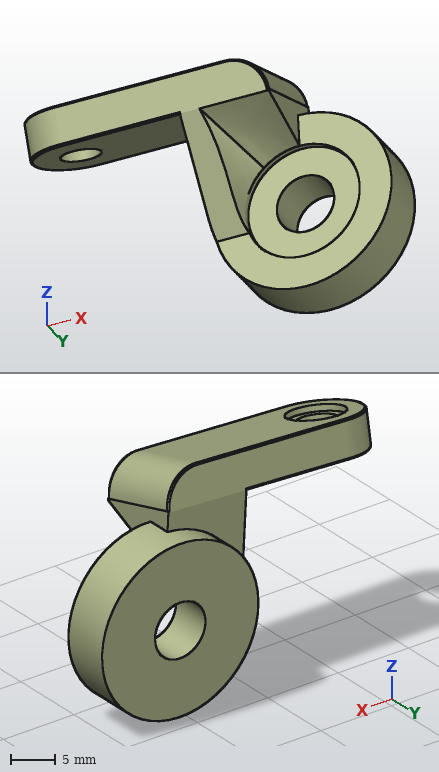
import cadquery as cq
import math

ring_radius = 11.1125
ring_thickness = 6.35
bore_radius = 3.571875
ring_recess_radius = 7.14375
ring_recess_depth = 0.79375

arm_width = 11.53
arm_thickness = 4.7625
arm_hole_distance = 25.975
arm_edge_chamfer = 0.2
arm_end_radius = arm_thickness
arm_hole_radius = 2.38125
arm_recess_radius = 3.571875
arm_recess_depth = 0.8
arm_tilt = 15.0
arm_swing = 3.0

arm_back_y = -ring_thickness / 2
arm_back_z = 13.48

web_slope_start_z = -2.33
relief_half_width = 8.65

arm_front_y = arm_back_y - arm_width * math.cos(math.radians(arm_tilt))
arm_front_z = arm_back_z - arm_width * math.sin(math.radians(arm_tilt))


def cylinder_along_y(radius, start_y, end_y):
    """Cylinder on the ring axis, running from start_y down to the lower end_y."""
    return cq.Workplane("XZ", origin=(0, start_y, 0)).circle(radius).extrude(start_y - end_y)


def make_arm():
    """Plate with a round hole end, a rolled-over square end and chamfered edges."""
    half_width = arm_width / 2
    outline = (
        cq.Workplane("XY")
        .lineTo(-arm_hole_distance, 0)
        .threePointArc(
            (-arm_hole_distance - half_width, -half_width),
            (-arm_hole_distance, -arm_width),
        )
        .lineTo(0, -arm_width)
        .close()
        .extrude(arm_thickness)
    )
    plate_length = arm_hole_distance + half_width
    rolled_profile = (
        cq.Workplane("XZ")
        .lineTo(-plate_length, 0)
        .lineTo(-plate_length, arm_thickness)
        .lineTo(-arm_end_radius, arm_thickness)
        .radiusArc((0, arm_thickness - arm_end_radius), arm_end_radius)
        .close()
        .extrude(arm_width)
    )
    arm = outline.intersect(rolled_profile)
    return arm.edges("not (|Y or |Z)").chamfer(arm_edge_chamfer)


def make_arm_hole():
    """Stepped hole at the round end, in the arm's own frame."""
    hole_center = (-arm_hole_distance, -arm_width / 2)
    hole = cq.Workplane("XY").center(*hole_center).circle(arm_hole_radius).extrude(arm_thickness)
    recess = (
        cq.Workplane("XY", origin=(0, 0, arm_thickness))
        .center(*hole_center)
        .circle(arm_recess_radius)
        .extrude(-arm_recess_depth)
    )
    return hole.union(recess)


def place_on_web(shape):
    """Tilt a shape from the arm's own frame and lift it onto the web."""
    return shape.rotate((0, 0, 0), (1, 0, 0), arm_tilt).translate((0, arm_back_y, arm_back_z))


def make_web():
    """Wedge with a sloping front, tangent to the ring on its -X side and flat at X = 0."""
    chamfer_step_y = -arm_edge_chamfer * math.sin(math.radians(arm_tilt))
    chamfer_step_z = arm_edge_chamfer * math.cos(math.radians(arm_tilt))
    wedge = (
        cq.Workplane("YZ")
        .moveTo(arm_back_y, arm_back_z)
        .line(chamfer_step_y, chamfer_step_z)
        .lineTo(arm_front_y + chamfer_step_y, arm_front_z + chamfer_step_z)
        .lineTo(arm_front_y, arm_front_z)
        .lineTo(-ring_thickness, web_slope_start_z)
        .lineTo(arm_back_y, web_slope_start_z)
        .close()
        .extrude(-ring_radius)
    )
    outline_top = arm_back_z + chamfer_step_z
    outline = (
        cq.Workplane("XZ")
        .moveTo(0, outline_top)
        .lineTo(-ring_radius, outline_top)
        .lineTo(-ring_radius, 0)
        .radiusArc((0, -ring_radius), -ring_radius)
        .close()
        .extrude(-arm_front_y - chamfer_step_y)
    )
    return wedge.intersect(outline)


def make_relief():
    """Funnel in front of the ring: the recess circle opens to a rectangle at the arm's front edge."""
    corner_angle = math.atan2(arm_front_z, relief_half_width)
    side_angles = (corner_angle, math.pi - corner_angle, math.pi + corner_angle, -corner_angle)
    corners = [
        (relief_half_width, arm_front_z),
        (-relief_half_width, arm_front_z),
        (-relief_half_width, -arm_front_z),
        (relief_half_width, -arm_front_z),
    ]

    def on_circle(angle):
        return (ring_recess_radius * math.cos(angle), ring_recess_radius * math.sin(angle))

    circle = cq.Workplane("XZ", origin=(0, -ring_thickness, 0)).moveTo(*on_circle(side_angles[0]))
    for middle, end in (
        (math.pi / 2, side_angles[1]),
        (math.pi, side_angles[2]),
        (-math.pi / 2, side_angles[3]),
        (0, side_angles[0]),
    ):
        circle = circle.threePointArc(on_circle(middle), on_circle(end))
    rectangle = cq.Workplane("XZ", origin=(0, arm_front_y, 0)).polyline(corners).close()
    wires = [circle.wire().val(), rectangle.wire().val()]
    return cq.Workplane(cq.Solid.makeLoft(wires, True))


ring = cylinder_along_y(ring_radius, 0, -ring_thickness)
web = make_web().cut(make_relief())
ring_recess = cylinder_along_y(ring_recess_radius, ring_recess_depth - ring_thickness, -ring_thickness)
bore = cylinder_along_y(bore_radius, 0, -ring_thickness)
arm = place_on_web(make_arm())
arm_hole = place_on_web(make_arm_hole())

result = ring.union(web).cut(ring_recess).cut(bore).union(arm).cut(arm_hole).clean()
result = result.rotate((0, 0, 0), (0, 1, 0), -arm_swing)